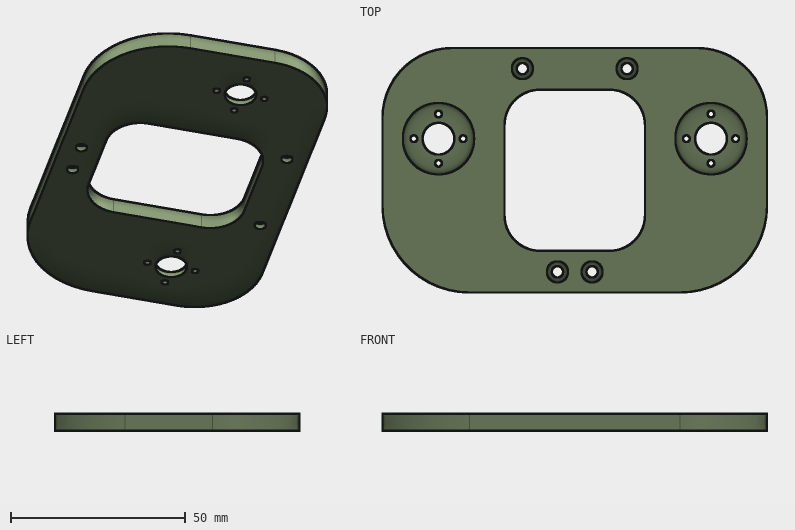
import cadquery as cq

length = 110.0
width = 70.0
thickness = 5.0
back_corner_radius = 20.0
front_corner_radius = 25.0

window_length = 40.0
window_width = 46.0
window_radius = 10.0

seat_offset_x = 38.9
seat_y = 9.0
seat_diameter = 20.5
seat_depth = 3.0
bore_diameter = 9.0
mount_hole_diameter = 1.9
mount_circle_radius = 7.0
mount_hole_count = 4

screw_row_y = 29.0
back_screw_x = 15.0
front_screw_x = 5.0
screw_diameter = 3.2
head_diameter = 6.0
head_depth = 3.0


def make_plate():
    plate = cq.Workplane("XY").box(length, width, thickness, centered=(True, True, False))
    plate = plate.edges("|Z and >Y").fillet(back_corner_radius)
    return plate.edges("|Z and <Y").fillet(front_corner_radius)


def make_window():
    window = cq.Workplane("XY").rect(window_length, window_width).extrude(thickness)
    return window.edges("|Z").fillet(window_radius)


def cut_seats(plate):
    for x in (-seat_offset_x, seat_offset_x):
        top = cq.Workplane("XY", origin=(x, seat_y, thickness))
        seat = top.circle(seat_diameter / 2).extrude(-seat_depth)
        bore = top.circle(bore_diameter / 2).extrude(-thickness)
        mount_holes = (
            top.polarArray(mount_circle_radius, 0, 360, mount_hole_count)
            .circle(mount_hole_diameter / 2)
            .extrude(-thickness)
        )
        plate = plate.cut(seat).cut(bore).cut(mount_holes)
    return plate


def cut_screw_holes(plate):
    centres = [
        (-back_screw_x, screw_row_y),
        (back_screw_x, screw_row_y),
        (-front_screw_x, -screw_row_y),
        (front_screw_x, -screw_row_y),
    ]
    top = cq.Workplane("XY", origin=(0, 0, thickness))
    return plate.cut(
        top.pushPoints(centres).circle(screw_diameter / 2).extrude(-thickness)
    ).cut(top.pushPoints(centres).circle(head_diameter / 2).extrude(-head_depth))


plate = make_plate().cut(make_window())
plate = cut_seats(plate)
result = cut_screw_holes(plate)